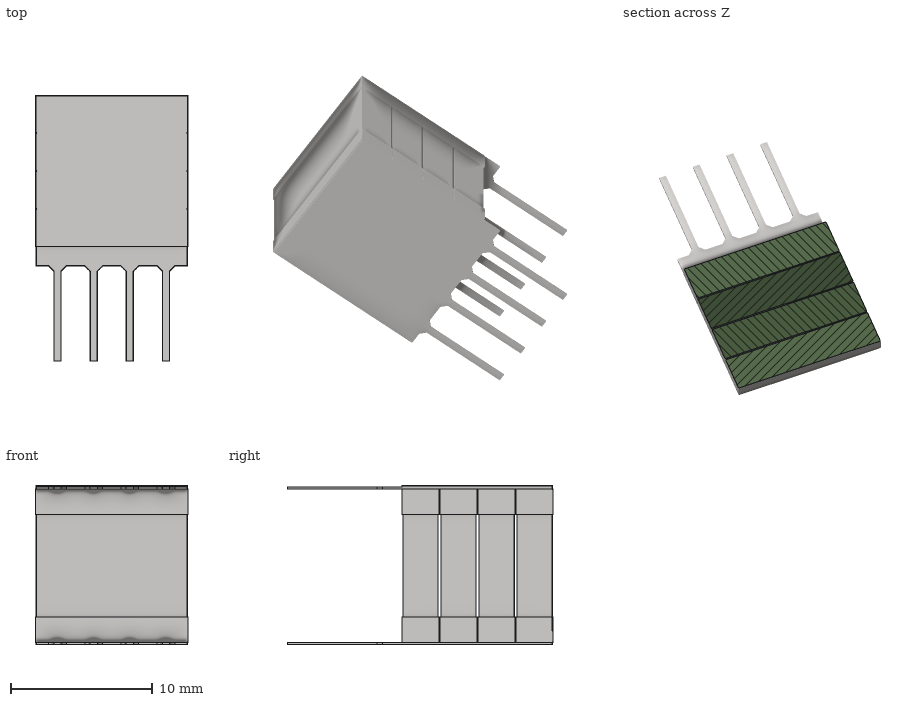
import cadquery as cq

capacitor_count = 4
terminal_width = 10.8
capacitor_height = 10.83
terminal_height = 1.8
capacitor_depth = 2.63
capacitor_gap = 0.05
capacitor_pitch = capacitor_depth + capacitor_gap
stack_depth = capacitor_count * capacitor_pitch - capacitor_gap

ceramic_inset_x = 0.05
ceramic_inset_y = 0.065
ceramic_width = terminal_width - 2 * ceramic_inset_x

slot_depth = 1.0
slot_width = 0.04

overall_length = 18.8
frame_width = ceramic_width
frame_thickness = 0.17
top_plate_step = 0.08
bar_overhang = 1.37
lead_count = 4
lead_width = 0.5
lead_pitch = 2.55
lead_flare = 0.38

back_y = stack_depth / 2
front_y = -stack_depth / 2
ceramic_back_y = back_y - ceramic_inset_y
frame_back_y = ceramic_back_y
bar_front_y = front_y - bar_overhang
lead_tip_y = back_y - overall_length
cap_top_z = capacitor_height / 2


def box(width, y_min, y_max, z_min, z_max):
    """Box centred on X = 0 between the given Y and Z limits."""
    return (
        cq.Workplane("XY", origin=(0, (y_min + y_max) / 2, z_min))
        .box(width, y_max - y_min, z_max - z_min, centered=(True, True, False))
    )


def make_capacitor(rear_y):
    """Ceramic block with a slightly larger end cap at each end, rear face at rear_y."""
    near_y = rear_y - capacitor_depth
    terminal_inner_z = cap_top_z - terminal_height
    ceramic = box(
        ceramic_width,
        near_y + ceramic_inset_y,
        rear_y - ceramic_inset_y,
        -terminal_inner_z,
        terminal_inner_z,
    )
    upper_terminal = box(terminal_width, near_y, rear_y, terminal_inner_z, cap_top_z)
    lower_terminal = box(terminal_width, near_y, rear_y, -cap_top_z, -terminal_inner_z)
    return ceramic.union(upper_terminal).union(lower_terminal)


def lead_outline(x):
    """Outline points of one lead centred on x, widening where it joins the bar."""
    half = lead_width / 2
    wide = half + lead_flare
    return [
        (x - wide, bar_front_y),
        (x - half, bar_front_y - lead_flare),
        (x - half, lead_tip_y),
        (x + half, lead_tip_y),
        (x + half, bar_front_y - lead_flare),
        (x + wide, bar_front_y),
    ]


def make_lead_frame(bottom_z):
    """Flat plate with a row of leads, lower face at bottom_z."""
    half = frame_width / 2
    outline = [(-half, frame_back_y), (-half, bar_front_y)]
    for index in range(lead_count):
        outline += lead_outline((index - (lead_count - 1) / 2) * lead_pitch)
    outline += [(half, bar_front_y), (half, frame_back_y)]
    return cq.Workplane("XY", origin=(0, 0, bottom_z)).polyline(outline).close().extrude(frame_thickness)


def make_framed_capacitor():
    """Back capacitor in one piece with both lead frames."""
    slot_top_z = terminal_height - cap_top_z
    slot = box(
        terminal_width, ceramic_back_y, ceramic_back_y + slot_width, slot_top_z - slot_depth, slot_top_z
    )
    frame_top_z = cap_top_z + frame_thickness
    raised_plate = box(frame_width, front_y, frame_back_y, frame_top_z, frame_top_z + top_plate_step)
    return (
        make_capacitor(back_y)
        .cut(slot)
        .union(make_lead_frame(cap_top_z))
        .union(raised_plate)
        .union(make_lead_frame(-cap_top_z - frame_thickness))
    )


framed_capacitor = make_framed_capacitor()
plain_capacitors = [
    make_capacitor(back_y - index * capacitor_pitch) for index in range(1, capacitor_count)
]

result = cq.Compound.makeCompound(
    [framed_capacitor.val(), *[capacitor.val() for capacitor in plain_capacitors]]
)